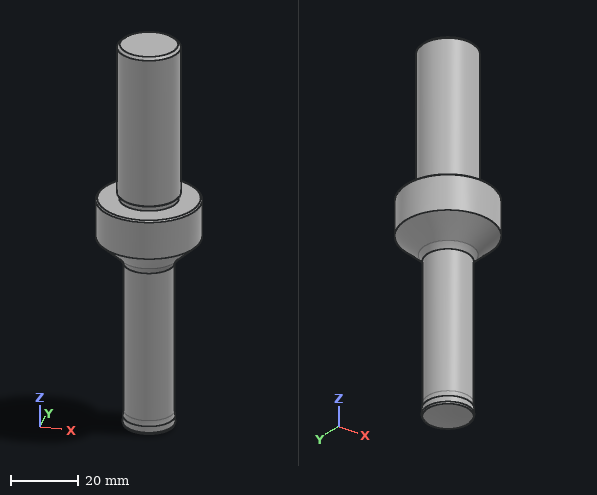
import cadquery as cq

collar_diameter = 31.8
shank_diameter = 19.1
neck_diameter = 17.8
taper_bottom_diameter = 17.8
stem_diameter = 15.3
joint_diameter = 15.7
tip_diameter = 15.8

shank_top = 125.5
collar_top = 74.8
collar_bottom = 62.3
taper_bottom = 55.9
stem_top = 53.6
stem_bottom = 5.1
joint_level = 3.3

shank_chamfer = 0.9
collar_chamfer = 0.5
neck_height = 1.4
neck_shoulder_height = 0.5
blend_arc_radius = 12.5
flare_arc_radius = 9.4

dome_height = 0.6
tip_chamfer_width = 0.3
tip_chamfer_height = 0.6


def turn(profile):
    """Revolve a closed half-profile drawn in the XZ plane around Z."""
    return profile.revolve(360, (0, 0), (0, 1))


def make_holder():
    """Shank, relieved neck, collar, tapered underside and stem, turned from one piece."""
    collar_radius = collar_diameter / 2
    shank_radius = shank_diameter / 2
    neck_radius = neck_diameter / 2
    stem_radius = stem_diameter / 2
    neck_top = collar_top + neck_height
    profile = (
        cq.Workplane("XZ")
        .moveTo(0, shank_top)
        .lineTo(shank_radius - shank_chamfer, shank_top)
        .lineTo(shank_radius, shank_top - shank_chamfer)
        .lineTo(shank_radius, neck_top + neck_shoulder_height)
        .lineTo(neck_radius, neck_top)
        .lineTo(neck_radius, collar_top)
        .lineTo(collar_radius - collar_chamfer, collar_top)
        .lineTo(collar_radius, collar_top - collar_chamfer)
        .lineTo(collar_radius, collar_bottom)
        .lineTo(taper_bottom_diameter / 2, taper_bottom)
        .radiusArc((stem_radius, stem_top), -blend_arc_radius)
        .lineTo(stem_radius, stem_bottom)
        .radiusArc((joint_diameter / 2, joint_level), -flare_arc_radius)
        .lineTo(0, joint_level)
        .close()
    )
    return turn(profile)


def make_tip():
    """Short flared tip with a chamfered edge and a shallow domed end."""
    tip_radius = tip_diameter / 2
    dome_rim_radius = tip_radius - tip_chamfer_width
    dome_sphere_radius = (dome_rim_radius**2 + dome_height**2) / (2 * dome_height)
    profile = (
        cq.Workplane("XZ")
        .moveTo(0, joint_level)
        .lineTo(joint_diameter / 2, joint_level)
        .lineTo(tip_radius, dome_height + tip_chamfer_height)
        .lineTo(dome_rim_radius, dome_height)
        .radiusArc((0, 0), dome_sphere_radius)
        .close()
    )
    return turn(profile)


holder = make_holder()
tip = make_tip()

result = cq.Compound.makeCompound([holder.val(), tip.val()])